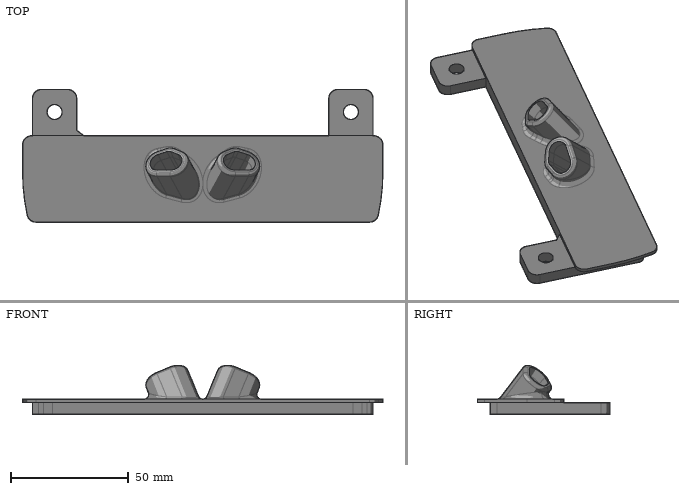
import cadquery as cq
import math

PLATE_LENGTH = 154.0
PLATE_DEPTH = 37.0
PLATE_THICKNESS = 1.5
PLATE_CORNER_RADIUS = 4.0
PLATE_STRAIGHT_SIDE = 15.7
PLATE_END_RADIUS = 85.0

BASE_LENGTH = 145.6
BASE_THICKNESS = 5.0
BASE_FRONT_SETBACK = 5.4
BASE_FRONT_RADIUS = 2.7
FRONT_STEP = 0.3
FRONT_STEP_START = 64.2
FRONT_STEP_END = 68.0
TAB_WIDTH = 19.0
TAB_REACH = 19.8
TAB_CORNER_RADIUS = 4.0
TAB_HOLE_DIAMETER = 6.3
TAB_HOLE_FROM_END = 9.7
TAB_BRACE_X = 3.0
TAB_BRACE_Y = 2.3

SPOUT_FRONT_FLAT = 6.1
SPOUT_FRONT_RADIUS = 6.6
SPOUT_BACK_RADIUS = 4.75
SPOUT_BACK_CENTRE = 3.25
MOUTH_WALL = 2.4
BORE_WALL = 2.75
MOUTH_DEPTH = 3.9
SPOUT_BACK_TILT = 35.0
SPOUT_SIDE_TILT = 22.5
SPOUT_LENGTH = 12.65
SPOUT_FOOT_X = 11.7
SPOUT_FOOT_Y = 0
SPOUT_RIM_RADIUS = 1.5
SPOUT_FOOT_RADIUS = 2.0
SPOUT_REACH = 45.0
SLAB_LENGTH = 60.0
SLAB_DEPTH = 35.0
EDGE_MARGIN = 0.1

PLATE_FRONT = -PLATE_DEPTH / 2
PLATE_REAR = PLATE_DEPTH / 2
BASE_TOP = -PLATE_THICKNESS
BASE_BOTTOM = BASE_TOP - BASE_THICKNESS


def make_plate():
    half = PLATE_LENGTH / 2
    bow_start = PLATE_REAR - PLATE_STRAIGHT_SIDE

    def bow_x(y):
        drop = bow_start - y
        return half - PLATE_END_RADIUS + math.sqrt(PLATE_END_RADIUS**2 - drop**2)

    bow_middle = (bow_start + PLATE_FRONT) / 2
    outline = (
        cq.Workplane("XY", origin=(0, 0, BASE_TOP))
        .moveTo(-half, PLATE_REAR)
        .lineTo(half, PLATE_REAR)
        .lineTo(half, bow_start)
        .threePointArc((bow_x(bow_middle), bow_middle), (bow_x(PLATE_FRONT), PLATE_FRONT))
        .lineTo(-bow_x(PLATE_FRONT), PLATE_FRONT)
        .threePointArc((-bow_x(bow_middle), bow_middle), (-half, bow_start))
        .close()
    )
    plate = outline.extrude(PLATE_THICKNESS)
    return plate.edges("|Z").edges("<Y or >Y").fillet(PLATE_CORNER_RADIUS)


def make_base():
    half = BASE_LENGTH / 2
    tab_inner = half - TAB_WIDTH
    tab_end = PLATE_REAR + TAB_REACH
    front = PLATE_FRONT + BASE_FRONT_SETBACK
    front_end = front + FRONT_STEP
    outline = [
        (-half, front_end),
        (-FRONT_STEP_END, front_end),
        (-FRONT_STEP_START, front),
        (FRONT_STEP_START, front),
        (FRONT_STEP_END, front_end),
        (half, front_end),
        (half, tab_end),
        (tab_inner, tab_end),
        (tab_inner, PLATE_REAR),
        (-tab_inner + TAB_BRACE_X, PLATE_REAR),
        (-tab_inner, PLATE_REAR + TAB_BRACE_Y),
        (-tab_inner, tab_end),
        (-half, tab_end),
    ]
    bottom = cq.Workplane("XY", origin=(0, 0, BASE_BOTTOM))
    base = bottom.polyline(outline).close().extrude(BASE_THICKNESS)
    base = base.edges("|Z").edges(">Y").fillet(TAB_CORNER_RADIUS)
    base = base.edges("|Z").edges("<X or >X").edges("<Y").fillet(BASE_FRONT_RADIUS)
    hole_x = half - TAB_WIDTH / 2
    hole_y = tab_end - TAB_HOLE_FROM_END
    holes = bottom.pushPoints([(-hole_x, hole_y), (hole_x, hole_y)])
    holes = holes.circle(TAB_HOLE_DIAMETER / 2).extrude(BASE_THICKNESS)
    return base.cut(holes)


def spout_plane(depth):
    """Cross-section plane of the left spout, this far below its mouth; its normal points out of the mouth."""
    back = math.radians(SPOUT_BACK_TILT)
    side = math.radians(SPOUT_SIDE_TILT)
    axis = cq.Vector(-math.cos(back) * math.sin(side), math.sin(back), math.cos(back) * math.cos(side))
    across = cq.Vector(math.cos(side), 0, math.sin(side))
    foot = cq.Vector(-SPOUT_FOOT_X, SPOUT_FOOT_Y, 0)
    return cq.Plane(origin=foot + axis * (SPOUT_LENGTH - depth), xDir=across, normal=axis)


def spout_section(wall, depth):
    """Closed outline around two equal front circles and a smaller one behind them, all reduced by the wall."""
    front_radius = SPOUT_FRONT_RADIUS - wall
    back_radius = SPOUT_BACK_RADIUS - wall
    half_flat = SPOUT_FRONT_FLAT / 2
    spacing = math.hypot(half_flat, SPOUT_BACK_CENTRE)
    normal = math.atan2(half_flat, SPOUT_BACK_CENTRE) + math.asin((front_radius - back_radius) / spacing)
    front_arc_middle = (normal - math.pi / 2) / 2

    def front_point(angle):
        return half_flat + front_radius * math.cos(angle), front_radius * math.sin(angle)

    def mirrored(point):
        return -point[0], point[1]

    front_arc_end = front_point(normal)
    back_arc_start = (back_radius * math.cos(normal), SPOUT_BACK_CENTRE + back_radius * math.sin(normal))
    return (
        cq.Workplane(spout_plane(depth))
        .moveTo(-half_flat, -front_radius)
        .lineTo(half_flat, -front_radius)
        .threePointArc(front_point(front_arc_middle), front_arc_end)
        .lineTo(*back_arc_start)
        .threePointArc((0, SPOUT_BACK_CENTRE + back_radius), mirrored(back_arc_start))
        .lineTo(*mirrored(front_arc_end))
        .threePointArc(mirrored(front_point(front_arc_middle)), (-half_flat, -front_radius))
        .close()
    )


def make_spout():
    """Left spout, still solid, with a rounded rim and a flared foot on its own slab of plate."""
    bar = spout_section(0, 0).extrude(-SPOUT_REACH)
    mouth = cq.selectors.DirectionMinMaxSelector(spout_plane(0).zDir)
    bar = bar.faces(mouth).edges().fillet(SPOUT_RIM_RADIUS)
    below_plate = (
        cq.Workplane("XY", origin=(0, 0, BASE_TOP))
        .rect(PLATE_LENGTH, 2 * PLATE_DEPTH)
        .extrude(-SPOUT_REACH)
    )
    slab = (
        cq.Workplane("XY", origin=(-SPOUT_FOOT_X, 0, BASE_TOP))
        .rect(SLAB_LENGTH, SLAB_DEPTH)
        .extrude(PLATE_THICKNESS)
    )
    half_length = SLAB_LENGTH / 2 - EDGE_MARGIN
    half_depth = SLAB_DEPTH / 2 - EDGE_MARGIN
    foot_edges = cq.selectors.BoxSelector(
        (-SPOUT_FOOT_X - half_length, -half_depth, -EDGE_MARGIN),
        (-SPOUT_FOOT_X + half_length, half_depth, EDGE_MARGIN),
    )
    return slab.union(bar.cut(below_plate)).edges(foot_edges).fillet(SPOUT_FOOT_RADIUS)


def make_bore():
    """Bore of the left spout: a tapered mouth, then straight down through the base."""
    lower = spout_section(BORE_WALL, MOUTH_DEPTH).val()
    upper = spout_section(MOUTH_WALL, 0).val()
    taper = cq.Workplane(cq.Solid.makeLoft([lower, upper], ruled=True))
    straight = spout_section(BORE_WALL, MOUTH_DEPTH).extrude(-SPOUT_REACH)
    return taper.union(straight)


spout = make_spout()
bore = make_bore()
body = make_plate().union(make_base()).union(spout).union(spout.mirror("YZ"))
result = body.cut(bore).cut(bore.mirror("YZ"))